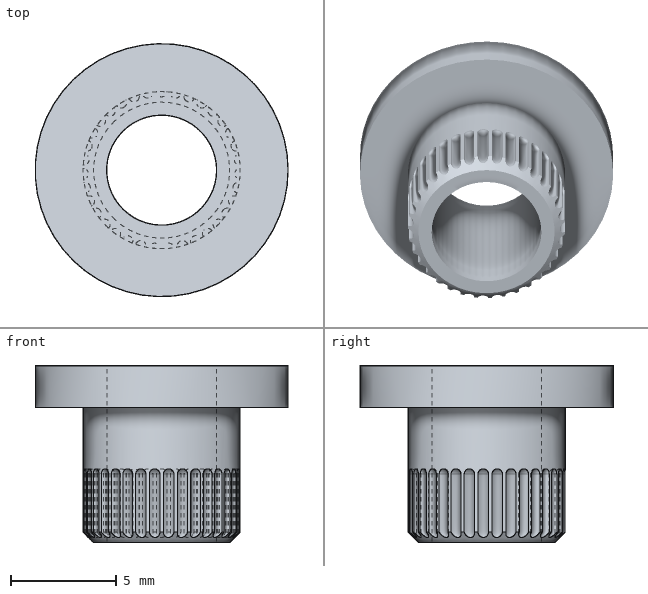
import cadquery as cq
import math


flange_diameter = 12.0
flange_thickness = 2.0
shank_diameter = 7.45
bore_diameter = 5.2
total_height = 8.4
shank_chamfer = 0.5

flute_count = 35
flute_radius = 0.25
flute_top = 3.5
first_flute_angle = 90.0

shank_length = total_height - flange_thickness
shank_radius = shank_diameter / 2
flute_straight_length = flute_top - flute_radius


def make_shank():
    """Cylindrical shank with a chamfer around its free end."""
    shank = cq.Workplane("XY").circle(shank_radius).extrude(shank_length)
    return shank.faces("<Z").edges().chamfer(shank_chamfer)


def make_flange():
    """Round flange sitting on top of the shank."""
    base = cq.Workplane("XY").workplane(offset=shank_length)
    return base.circle(flange_diameter / 2).extrude(flange_thickness)


def make_bore():
    """Cutter for the through bore."""
    return cq.Workplane("XY").circle(bore_diameter / 2).extrude(total_height)


def make_flute_cutter(angle):
    """Round-ended rod centred on the shank surface at the given angle in degrees."""
    x = shank_radius * math.cos(math.radians(angle))
    y = shank_radius * math.sin(math.radians(angle))
    profile = (
        cq.Workplane("XZ")
        .lineTo(flute_radius, 0)
        .lineTo(flute_radius, flute_straight_length)
        .tangentArcPoint((0, flute_top), relative=False)
        .close()
    )
    rod = profile.revolve(360, (0, 0, 0), (0, 1, 0))
    return rod.translate((x, y, 0))


def cut_flutes(body):
    """Cut the evenly spaced ring of flutes into the shank."""
    for index in range(flute_count):
        angle = first_flute_angle + index * 360 / flute_count
        body = body.cut(make_flute_cutter(angle))
    return body


result = cut_flutes(make_shank()).union(make_flange()).cut(make_bore())